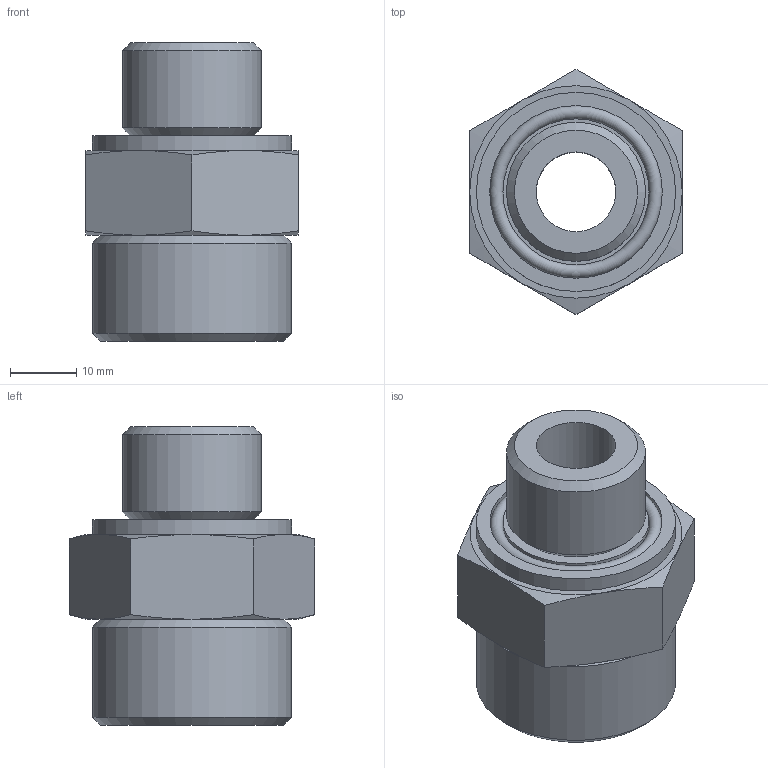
import cadquery as cq
import math

lower_thread_top = 16.0
hex_top = 28.75
collar_top = 31.0
total_height = 45.0

bore_diameter = 12.0
lower_thread_diameter = 30.0
upper_thread_diameter = 20.95
collar_diameter = 30.0
hex_across_flats = 32.0
hex_sides = 6
hex_half_side_angle = 180 / hex_sides

thread_chamfer = 1.2
hex_chamfer_angle = math.radians(15)

groove_inner_diameter = 22.0
groove_outer_diameter = 26.0


def chamfered_cylinder(diameter, bottom, top):
    """Plain stub standing for a thread, with a 45 degree chamfer at both ends."""
    stub = cq.Workplane("XY").workplane(offset=bottom).circle(diameter / 2).extrude(top - bottom)
    return stub.faces("<Z or >Z").chamfer(thread_chamfer)


def hexagon():
    """Wrench hexagon with flats facing +X and -X, its corners cut back by a cone at both ends."""
    corner_radius = hex_across_flats / 2 / math.cos(math.radians(hex_half_side_angle))
    height = hex_top - lower_thread_top
    prism = (
        cq.Workplane("XY")
        .workplane(offset=lower_thread_top)
        .polygon(hex_sides, 2 * corner_radius)
        .extrude(height)
        .rotate((0, 0, 0), (0, 0, 1), hex_half_side_angle)
    )
    face_radius = hex_across_flats / 2
    cone_drop = (corner_radius - face_radius) * math.tan(hex_chamfer_angle)
    envelope = (
        cq.Workplane("XZ")
        .moveTo(0, lower_thread_top)
        .lineTo(face_radius, lower_thread_top)
        .lineTo(corner_radius, lower_thread_top + cone_drop)
        .lineTo(corner_radius, hex_top - cone_drop)
        .lineTo(face_radius, hex_top)
        .lineTo(0, hex_top)
        .close()
        .revolve(360, (0, 0, 0), (0, 1, 0))
    )
    return prism.intersect(envelope)


def collar():
    """Round collar with a face groove; the seal ring in it is flush with the face and fills its floor."""
    collar_radius = collar_diameter / 2
    inner_radius = groove_inner_diameter / 2
    outer_radius = groove_outer_diameter / 2
    crown_radius = (inner_radius + outer_radius) / 2
    ring_centre_height = collar_top - (outer_radius - inner_radius) / 2
    return (
        cq.Workplane("XZ")
        .moveTo(0, hex_top)
        .lineTo(collar_radius, hex_top)
        .lineTo(collar_radius, collar_top)
        .lineTo(outer_radius, collar_top)
        .lineTo(outer_radius, ring_centre_height)
        .threePointArc((crown_radius, collar_top), (inner_radius, ring_centre_height))
        .lineTo(inner_radius, collar_top)
        .lineTo(0, collar_top)
        .close()
        .revolve(360, (0, 0, 0), (0, 1, 0))
    )


body = chamfered_cylinder(lower_thread_diameter, 0, lower_thread_top)
body = body.union(hexagon())
body = body.union(collar())
body = body.union(chamfered_cylinder(upper_thread_diameter, collar_top, total_height))

bore = cq.Workplane("XY").circle(bore_diameter / 2).extrude(total_height)
result = body.cut(bore)